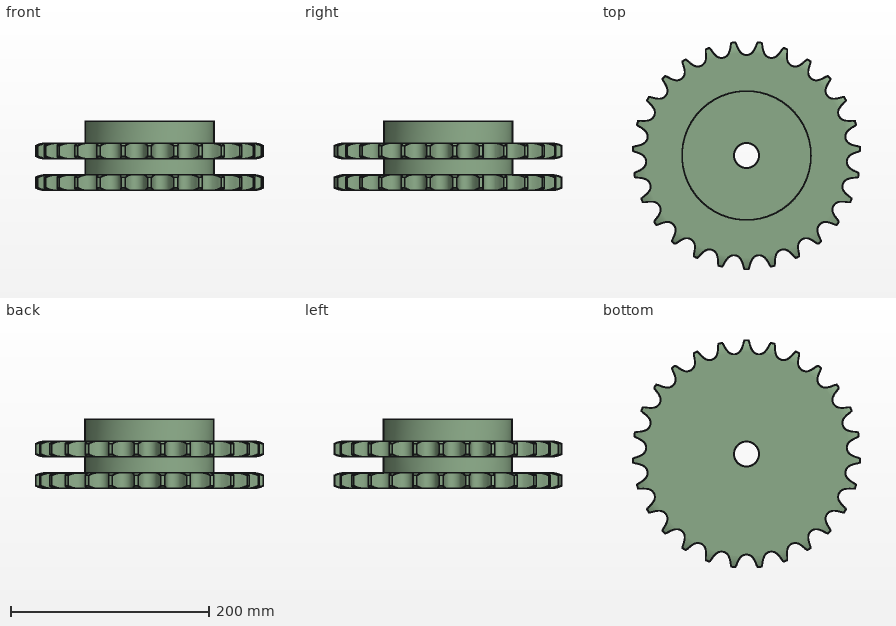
import cadquery as cq
import math


tooth_count = 27
pitch_diameter = 218.8
roller_diameter = 15.8
seat_clearance = 0.04
tip_diameter = 229.6
plate_thickness = 15.8
strand_spacing = 32.0
rim_diameter = 207.0
hub_diameter = 130.0
overall_height = 70.0
bore_diameter = 25.0

pitch_radius = pitch_diameter / 2
tip_radius = tip_diameter / 2
rim_radius = rim_diameter / 2
tooth_step = 2 * math.pi / tooth_count
chain_pitch = pitch_diameter * math.sin(tooth_step / 2)
rim_rounding_radius = chain_pitch

seat_angle = math.radians(35 + 60 / tooth_count)
working_angle = math.radians(18 - 56 / tooth_count)
pressure_angle = math.radians(17 - 64 / tooth_count)
working_offset = 0.8 * roller_diameter
topping_offset = 1.4 * roller_diameter
seat_radius = 0.5025 * roller_diameter + seat_clearance
working_radius = seat_radius + working_offset
topping_radius = (
    working_offset * math.cos(working_angle)
    + topping_offset * math.cos(pressure_angle)
    - working_radius
)
flat_length = topping_offset * math.sin(pressure_angle) - working_offset * math.sin(working_angle)


def polar(centre, radius, angle):
    """Point at a given radius and angle (counterclockwise from +X) about a centre."""
    return (centre[0] + radius * math.cos(angle), centre[1] + radius * math.sin(angle))


def rotated(point, angle):
    """Point turned clockwise about the sprocket axis."""
    x, y = point
    return (
        x * math.cos(angle) + y * math.sin(angle),
        y * math.cos(angle) - x * math.sin(angle),
    )


def mirrored(point):
    return (-point[0], point[1])


def flank_points():
    """Points of the +X half of the tooth gap on +Y, from the gap bottom to the tooth tip."""
    seat_centre = (0, pitch_radius)
    bottom = polar(seat_centre, seat_radius, -math.pi / 2)
    seat_end = polar(seat_centre, seat_radius, -seat_angle)

    working_centre = polar(seat_centre, working_offset, math.pi - seat_angle)
    working_middle = polar(working_centre, working_radius, working_angle / 2 - seat_angle)
    flat_angle = working_angle - seat_angle
    working_end = polar(working_centre, working_radius, flat_angle)

    flat_end = polar(working_end, flat_length, flat_angle + math.pi / 2)

    topping_centre = polar(flat_end, topping_radius, flat_angle)
    centre_distance = math.hypot(*topping_centre)
    centre_direction = math.atan2(topping_centre[1], topping_centre[0])
    tip_offset = math.acos(
        (tip_radius**2 + centre_distance**2 - topping_radius**2) / (2 * tip_radius * centre_distance)
    )
    tip = polar((0, 0), tip_radius, centre_direction + tip_offset)
    topping_start_angle = flat_angle + math.pi
    topping_end_angle = math.atan2(tip[1] - topping_centre[1], tip[0] - topping_centre[0])
    topping_middle_angle = (topping_start_angle + topping_end_angle) / 2
    topping_middle = polar(topping_centre, topping_radius, topping_middle_angle)

    return [bottom, seat_end, working_middle, working_end, flat_end, topping_middle, tip]


def toothed_blank():
    """Prism with the full tooth outline, one plate thick."""
    flank = flank_points()
    left_tip = mirrored(flank[-1])
    outline = cq.Workplane("XY").moveTo(*left_tip)
    for index in range(tooth_count):
        angle = index * tooth_step
        right = [rotated(point, angle) for point in flank]
        left = [rotated(mirrored(point), angle) for point in flank]
        bottom, seat_end, working_middle, working_end, flat_end, topping_middle, tip = right
        _, left_seat_end, left_working_middle, left_working_end, left_flat_end, left_topping_middle, _ = left
        tip_middle = rotated((0, tip_radius), angle + tooth_step / 2)
        next_left_tip = rotated(left_tip, angle + tooth_step)

        outline = (
            outline.threePointArc(left_topping_middle, left_flat_end)
            .lineTo(*left_working_end)
            .threePointArc(left_working_middle, left_seat_end)
            .threePointArc(bottom, seat_end)
            .threePointArc(working_middle, working_end)
            .lineTo(*flat_end)
            .threePointArc(topping_middle, tip)
            .threePointArc(tip_middle, next_left_tip)
        )
    return outline.close().extrude(plate_thickness)


def rounded_disc():
    """Disc whose rim is rounded off towards the tooth tips on both faces."""

    def rounding_drop(radius):
        """Distance of the rounded rim from the flat face at a given radius."""
        run = radius - rim_radius
        return rim_rounding_radius - math.sqrt(rim_rounding_radius**2 - run**2)

    middle_radius = (rim_radius + tip_radius) / 2
    outer_radius = 2 * tip_radius - middle_radius
    middle_drop = rounding_drop(middle_radius)
    outer_drop = rounding_drop(outer_radius)
    return (
        cq.Workplane("XZ")
        .lineTo(rim_radius, 0)
        .threePointArc((middle_radius, middle_drop), (outer_radius, outer_drop))
        .lineTo(outer_radius, plate_thickness - outer_drop)
        .threePointArc((middle_radius, plate_thickness - middle_drop), (rim_radius, plate_thickness))
        .lineTo(0, plate_thickness)
        .close()
        .revolve(360, (0, 0), (0, 1))
    )


plate = toothed_blank().intersect(rounded_disc())
hub = cq.Workplane("XY").circle(hub_diameter / 2).extrude(overall_height)
bore = cq.Workplane("XY").circle(bore_diameter / 2).extrude(overall_height)

result = hub.union(plate).union(plate.translate((0, 0, strand_spacing))).cut(bore)